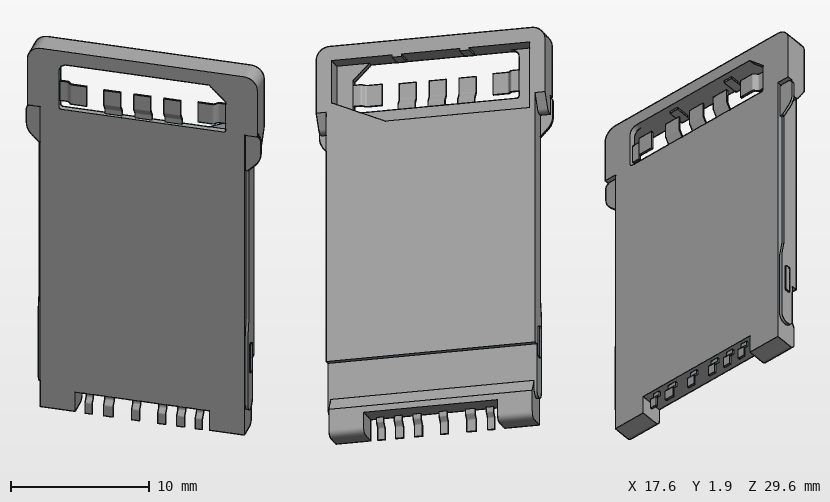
import cadquery as cq

height = 29.6
depth = 1.85

head_width = 17.23
head_corner_radius = 1.0
head_front_bottom = 24.78
head_back_bottom = 24.63
head_bottom = 23.32
head_slope_run = 0.8
head_slope_radius = 0.45

core_width = 15.3
shell_width = 15.72
shell_front = 0.45
shell_front_lower = 0.2
shell_taper_top = 9.35
shell_taper_bottom = 8.1
shell_bottom = 1.78
shell_arc_rise = 0.6

recess_depth = 0.45
recess_top = 5.7
recess_bottom = 2.95
foot_top = 2.07
foot_radius = 0.47

plate_thickness = 0.47
window_half_width = 6.25
window_bottom = 24.8
window_top = 28.5
window_top_radius = 0.6
window_bottom_radius = 0.18
window_chamfer_run = 1.25
window_chamfer_drop = 1.2
pocket_half_width = 7.45
pocket_floor = 23.53
pocket_shoulder = 25.3
pocket_slope_start = 3.4

tab_width = 0.7
tab_drop = 0.18
tab_offset = 2.55

ear_span = 17.55
ear_front = 0.27
ear_top = 24.7
ear_bottom = 21.73
ear_lower_radius = 1.33
ear_corner_radius = 0.4

bump_front = 0.55
bump_width = 0.47
bump_bottom = 4.85
bump_height = 2.35
bump_rise = 0.1
bump_radius = 0.12

sheet = 0.15
seat_front = 0.27
bend_radius = 0.18
contact_front = -0.05
middle_contact_width = 1.27
middle_contact_pitch = 2.25
middle_contact_top = 26.88
middle_bend_bottom = 25.2
middle_bend_top = 25.65
side_contact_bottom = 25.37
side_contact_top = 26.97
side_contact_tip = 4.17
side_bend_inner = 5.35
side_bend_outer = 5.62

notch_width = 10.05
notch_height = 1.6
lead_front = -0.05
lead_bend_bottom = 0.85
lead_bend_top = 1.2
leads = [(-4.03, 0.53), (-2.55, 0.7), (-0.5, 0.6), (1.45, 0.6), (2.87, 0.6), (4.23, 0.53)]

embed = 0.12


def block(x0, x1, y0, y1, z0, z1):
    return cq.Workplane("XY").box(x1 - x0, y1 - y0, z1 - z0, centered=False).translate((x0, y0, z0))


def across(points, width, centre=0.0):
    """Extrude a (Y, Z) outline along X, centred on the given X."""
    plane = cq.Workplane("YZ", origin=(centre - width / 2, 0, 0))
    return plane.polyline(points).close().extrude(width)


def through(points, y0, y1):
    """Extrude an (X, Z) outline from y0 to y1."""
    return cq.Workplane("XZ", origin=(0, y0, 0)).polyline(points).close().extrude(y0 - y1)


def both_sides(solid):
    return solid.union(solid.mirror("YZ"))


def make_head():
    slope_end = depth - head_slope_run
    points = [
        (0, height),
        (0, head_front_bottom),
        (shell_front, head_front_bottom),
        (shell_front, head_bottom),
        (slope_end, head_bottom),
        (depth, head_back_bottom),
        (depth, height),
    ]
    head = across(points, head_width).faces("<Z").edges(">Y").fillet(head_slope_radius)
    return head.edges("|Y and >Z").fillet(head_corner_radius)


def make_core():
    core = block(-core_width / 2, core_width / 2, 0, depth, 0, head_front_bottom)
    return core.edges("|X and >Y and <Z").fillet(foot_radius)


def make_shell():
    back = depth - recess_depth
    arc_middle = (shell_front_lower + back) / 2
    arc_end = shell_bottom + shell_arc_rise
    return (
        cq.Workplane("YZ", origin=(-shell_width / 2, 0, 0))
        .moveTo(shell_front, head_front_bottom)
        .lineTo(shell_front, shell_taper_top)
        .lineTo(shell_front_lower, shell_taper_bottom)
        .lineTo(shell_front_lower, arc_end)
        .threePointArc((arc_middle, shell_bottom), (back, arc_end))
        .lineTo(back, recess_top)
        .lineTo(depth, recess_top)
        .lineTo(depth, head_front_bottom)
        .close()
        .extrude(shell_width)
    )


def make_recess():
    floor = depth - recess_depth
    points = [(floor, recess_top), (floor, recess_bottom), (depth, foot_top), (depth, recess_top)]
    return across(points, core_width)


def make_window():
    w = window_half_width
    points = [
        (-w, window_bottom),
        (-w, window_top),
        (w - window_chamfer_run, window_top),
        (w, window_top - window_chamfer_drop),
        (w, window_bottom),
    ]
    window = through(points, 0, plate_thickness)
    window = window.edges("|Y and <X and >Z").fillet(window_top_radius)
    return window.edges("|Y and <Z").fillet(window_bottom_radius)


def make_pocket():
    w = pocket_half_width
    points = [
        (-w, window_top),
        (-w, pocket_floor),
        (pocket_slope_start, pocket_floor),
        (w, pocket_shoulder),
        (w, window_top),
    ]
    return through(points, plate_thickness, depth)


def make_tab(centre):
    x0 = centre - tab_width / 2
    return block(x0, x0 + tab_width, plate_thickness, depth, window_top - tab_drop, window_top + embed)


def make_ears():
    root = core_width / 2 - embed
    tip = ear_span / 2
    shell_side = shell_width / 2
    slope_top = ear_bottom + tip - shell_side
    ear = (
        cq.Workplane("XZ", origin=(0, ear_front, 0))
        .moveTo(root, ear_bottom)
        .lineTo(shell_side, ear_bottom)
        .lineTo(tip, slope_top)
        .lineTo(tip, ear_top)
        .lineTo(root, ear_top)
        .close()
        .extrude(-(plate_thickness - ear_front))
        .edges("|Y and >X and >Z")
        .fillet(ear_corner_radius)
        .faces(">X")
        .edges("<Z")
        .fillet(ear_lower_radius)
    )
    return both_sides(ear)


def make_bumps():
    side = shell_width / 2
    bump = block(
        side - embed,
        side + bump_rise,
        bump_front,
        bump_front + bump_width,
        bump_bottom,
        bump_bottom + bump_height,
    )
    return both_sides(bump.edges("|X").fillet(bump_radius))


def bent_strip(width, centre, front, root, bend_near_root, bend_near_tip, tip):
    """Upright strip that steps from its seat depth to its front depth between two rounded bends."""
    points = [
        (seat_front, root),
        (seat_front, bend_near_root),
        (front, bend_near_tip),
        (front, tip),
        (front + sheet, tip),
        (front + sheet, bend_near_tip),
        (seat_front + sheet, bend_near_root),
        (seat_front + sheet, root),
    ]
    low, high = sorted((bend_near_root, bend_near_tip))
    margin = 0.03
    bend_zone = cq.selectors.BoxSelector(
        (centre - width, front - margin, low - margin),
        (centre + width, seat_front + sheet + margin, high + margin),
    )
    bend_edges = cq.selectors.ParallelDirSelector(cq.Vector(1, 0, 0)) & bend_zone
    return across(points, width, centre).edges(bend_edges).fillet(bend_radius)


def make_middle_contact(centre):
    return bent_strip(
        middle_contact_width,
        centre,
        contact_front,
        window_bottom - embed,
        middle_bend_bottom,
        middle_bend_top,
        middle_contact_top,
    )


def make_side_contacts():
    """Strips lying along X, made upright and then tipped over about Y."""
    upright = bent_strip(
        side_contact_top - side_contact_bottom,
        -(side_contact_top + side_contact_bottom) / 2,
        contact_front,
        window_half_width + embed,
        side_bend_outer,
        side_bend_inner,
        side_contact_tip,
    )
    return both_sides(upright.rotate((0, 0, 0), (0, 1, 0), 90))


def make_lead(centre, width):
    return bent_strip(
        width, centre, lead_front, notch_height + embed, lead_bend_top, lead_bend_bottom, 0
    )


housing = make_head().union(make_core()).union(make_shell())
housing = housing.cut(make_recess()).cut(make_window()).cut(make_pocket())
housing = housing.cut(block(-notch_width / 2, notch_width / 2, 0, depth, 0, notch_height))

result = housing.union(make_ears()).union(make_bumps()).union(make_side_contacts())
for side in (-1, 1):
    result = result.union(make_tab(side * tab_offset))
for position in (-1, 0, 1):
    result = result.union(make_middle_contact(position * middle_contact_pitch))
for lead_centre, lead_width in leads:
    result = result.union(make_lead(lead_centre, lead_width))